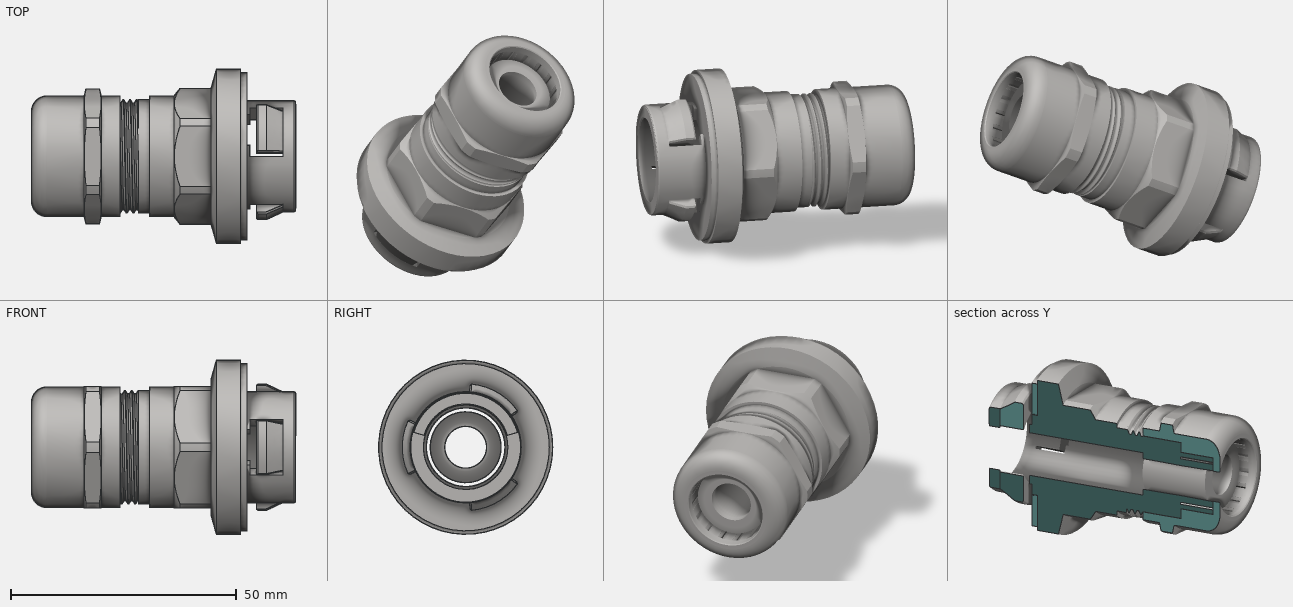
import cadquery as cq
import math


across_flats = 27.0
nut_corner_radius = 14.95
body_corner_radius = 15.07

nut_length = 19.7
nut_radius = 13.4
nut_round = 3.55
nut_opening_radius = 17.36 / 2
nut_mouth_radius = 17.74 / 2
nut_hex_start = 11.7
nut_hex_end = 15.5
nut_hex_bevel = 0.4

finger_start = 2.0
finger_end = 10.0
finger_outer_radius = 20.6 / 2
finger_inner_radius = 17.4 / 2
finger_count = 16
finger_slit_width = 0.3
finger_groove_width = 1.7
finger_groove_depth = 0.25

seal_start = 3.9
seal_end = 19.7
seal_radius = 15.75 / 2
seal_bore_radius = 9.2 / 2

thread_root_radius = 23.72 / 2
thread_crest_radius = 25.2 / 2
thread_pitch = 1.5
thread_base_width = 1.2
thread_crest_width = 0.15
thread_root_overlap = 0.1
thread_helix_start = 17.75

collar_start = 23.7
shoulder_start = 26.2
shoulder_radius = 26.8 / 2
body_hex_start = 31.6
body_hex_bevel = 1.35
cone_start = 39.8
flange_start = 41.0
flange_end = 46.4
flange_radius = 38.61 / 2
tube_radius = 24.65 / 2
tube_bore_radius = 18.7 / 2
tube_end = 58.54
tube_bevel_length = 0.35
tube_bevel_depth = 0.15

overall_length = 58.68
end_arc_inner_radius = 9.6
end_arc_outer_radius = 11.95
end_arc_start_angle = 16.0

gasket_end = 47.8
gasket_radius = 37.05 / 2

latch_angles = [180.0, 300.0, 420.0]
window_start = 48.4
window_end = 55.75
window_half_angle = 30.0
window_mouth_half_angle = 18.5

latch_start = 49.85
latch_flat_end = 52.1
latch_radius = 14.05
latch_half_angle = 26.0
latch_edge_bevel = 0.35


def turned(points, angle=360.0):
    """Revolve an (x, radius) outline about the X axis."""
    return cq.Workplane("XY").polyline(points).close().revolve(angle, (0, 0, 0), (1, 0, 0))


def ring(start, end, outer, inner):
    return turned([(start, inner), (start, outer), (end, outer), (end, inner)])


def sector(start, end, outer, inner, centre_angle, half_angle):
    """Piece of a ring; angles are measured about X from +Y towards +Z."""
    outline = [(start, inner), (start, outer), (end, outer), (end, inner)]
    return turned(outline, 2 * half_angle).rotate((0, 0, 0), (1, 0, 0), centre_angle - half_angle)


def hexagon(start, end):
    """Hexagonal prism along X with flats facing +Z and -Z."""
    corner_diameter = across_flats / math.cos(math.pi / 6)
    return cq.Workplane("YZ", origin=(start, 0, 0)).polygon(6, corner_diameter).extrude(end - start)


def make_cap_nut():
    shell = (
        cq.Workplane("XY")
        .moveTo(nut_mouth_radius - nut_opening_radius, nut_opening_radius)
        .lineTo(0, nut_mouth_radius)
        .lineTo(0, nut_radius - nut_round)
        .radiusArc((nut_round, nut_radius), nut_round)
        .lineTo(nut_length, nut_radius)
        .lineTo(nut_length, thread_root_radius)
        .lineTo(finger_end, thread_root_radius)
        .lineTo(finger_end, finger_outer_radius)
        .lineTo(finger_start, finger_outer_radius)
        .lineTo(finger_start, nut_opening_radius)
        .close()
        .revolve(360, (0, 0, 0), (1, 0, 0))
    )
    bevelled_disc = turned([
        (nut_hex_start, thread_root_radius),
        (nut_hex_start, nut_radius),
        (nut_hex_start + nut_hex_bevel, nut_corner_radius),
        (nut_hex_end - nut_hex_bevel, nut_corner_radius),
        (nut_hex_end, nut_radius),
        (nut_hex_end, thread_root_radius),
    ])
    return shell.union(hexagon(nut_hex_start, nut_hex_end).intersect(bevelled_disc))


def make_thread():
    """Right-hand V ridge on the neck, trimmed to the stretch between nut and collar."""
    inner = thread_root_radius - thread_root_overlap
    helix_length = collar_start + thread_pitch - thread_helix_start
    helix = cq.Wire.makeHelix(
        thread_pitch, helix_length, inner, cq.Vector(thread_helix_start, 0, 0), cq.Vector(1, 0, 0)
    )
    start_point = helix.startPoint()
    radial = cq.Vector(0, start_point.y, start_point.z).normalized()
    travel = cq.Vector(1, 0, 0).cross(radial)
    profile_plane = cq.Plane(origin=start_point, xDir=(1, 0, 0), normal=travel)
    height = thread_crest_radius - inner
    ridge = (
        cq.Workplane(profile_plane)
        .polyline([
            (-thread_base_width / 2, 0),
            (-thread_crest_width / 2, height),
            (thread_crest_width / 2, height),
            (thread_base_width / 2, 0),
        ])
        .close()
        .sweep(cq.Workplane(obj=helix), isFrenet=True)
    )
    trim = ring(nut_length, collar_start, shoulder_radius, tube_bore_radius)
    return ridge.intersect(trim)


def make_fingers():
    """Ring of fingers, parted by narrow slits that open inwards into V grooves."""
    fingers = ring(finger_start, finger_end, finger_outer_radius, finger_inner_radius)
    slit_half = finger_slit_width / 2
    groove_half = finger_groove_width / 2
    groove_bottom = finger_inner_radius + finger_groove_depth
    slit = (
        cq.Workplane("YZ", origin=(finger_start, 0, 0))
        .polyline([
            (0, -groove_half),
            (finger_inner_radius, -groove_half),
            (groove_bottom, -slit_half),
            (nut_radius, -slit_half),
            (nut_radius, slit_half),
            (groove_bottom, slit_half),
            (finger_inner_radius, groove_half),
            (0, groove_half),
        ])
        .close()
        .extrude(finger_end - finger_start)
    )
    for index in range(finger_count):
        angle = (index + 0.5) * 360 / finger_count
        fingers = fingers.cut(slit.rotate((0, 0, 0), (1, 0, 0), angle))
    return fingers


def make_body():
    core = turned([
        (finger_end, finger_inner_radius),
        (finger_end, thread_root_radius),
        (collar_start, thread_root_radius),
        (collar_start, thread_crest_radius),
        (shoulder_start, thread_crest_radius),
        (shoulder_start, shoulder_radius),
        (cone_start, shoulder_radius),
        (cone_start, body_corner_radius),
        (flange_start, flange_radius),
        (flange_end, flange_radius),
        (flange_end, tube_radius),
        (tube_end - tube_bevel_length, tube_radius),
        (tube_end, tube_radius - tube_bevel_depth),
        (tube_end, tube_bore_radius),
        (nut_length, tube_bore_radius),
        (nut_length, finger_inner_radius),
    ])
    bevelled_disc = turned([
        (body_hex_start, tube_bore_radius),
        (body_hex_start, shoulder_radius),
        (body_hex_start + body_hex_bevel, body_corner_radius),
        (cone_start, body_corner_radius),
        (cone_start, tube_bore_radius),
    ])
    body = core.union(hexagon(body_hex_start, cone_start).intersect(bevelled_disc))
    body = body.union(make_fingers()).union(make_thread())
    end_arc = sector(
        tube_end, overall_length, end_arc_outer_radius, end_arc_inner_radius,
        90, 90 - end_arc_start_angle,
    )
    body = body.union(end_arc)
    for angle in latch_angles:
        window = sector(window_start, window_end, flange_radius, 0, angle, window_half_angle)
        mouth = sector(gasket_end, window_end, flange_radius, 0, angle, window_mouth_half_angle)
        body = body.cut(window).cut(mouth)
    return body


def make_latch(angle):
    """Snap wedge standing in a window, with its ramp running down to the tube surface."""
    wedge = turned([
        (latch_start, tube_bore_radius),
        (latch_start, latch_radius - latch_edge_bevel),
        (latch_start + latch_edge_bevel, latch_radius),
        (latch_flat_end, latch_radius),
        (window_end, tube_radius),
        (window_end, tube_bore_radius),
    ], 2 * latch_half_angle)
    flat_middle = (latch_start + latch_flat_end) / 2
    ramp_middle = (latch_flat_end + window_end) / 2
    ramp_radius = (latch_radius + tube_radius) / 2
    side_edges = [
        wedge.edges(cq.selectors.NearestToPointSelector((
            x,
            radius * math.cos(math.radians(side)),
            radius * math.sin(math.radians(side)),
        ))).val()
        for side in (0, 2 * latch_half_angle)
        for x, radius in ((flat_middle, latch_radius), (ramp_middle, ramp_radius))
    ]
    wedge = wedge.newObject(side_edges).chamfer(latch_edge_bevel)
    return wedge.rotate((0, 0, 0), (1, 0, 0), angle - latch_half_angle)


cap_nut = make_cap_nut()
sealing_insert = ring(seal_start, seal_end, seal_radius, seal_bore_radius)
gland_body = make_body()
gasket = ring(flange_end, gasket_end, gasket_radius, tube_radius)
latches = [make_latch(angle) for angle in latch_angles]

result = cq.Compound.makeCompound([
    cap_nut.val(),
    sealing_insert.val(),
    gland_body.val(),
    gasket.val(),
    *[latch.val() for latch in latches],
])